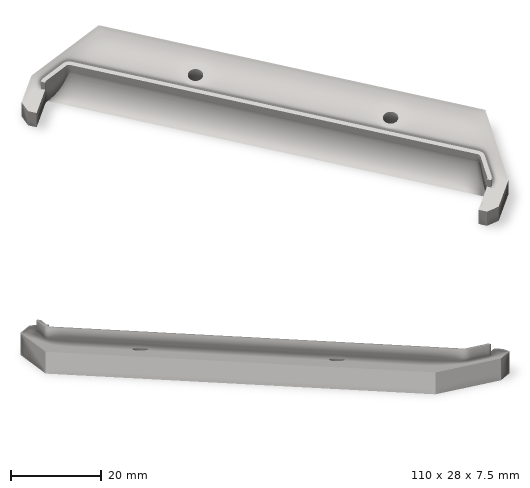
import cadquery as cq
import math

length = 110.0
depth = 28.0
plate_height = 5.0
total_height = 7.5

slope_angle = 60.0
arm_width = 4.1
arm_side_end = 10.0
arm_chamfer = 2.1

recess_back = 13.3
recess_slope_start = 7.4
recess_fillet = 1.0
lip_width = 1.0
lip_front = 6.9

trough_front = 7.9

hole_diameter = 3.4
left_hole_x = -20.0
right_hole_x = 25.0
hole_y = 20.1

half_length = length / 2
slope = math.tan(math.radians(slope_angle))


def mirrored_outline(right_points):
    """Close a right-hand chain of points with its mirror image across X = 0."""
    left_points = [(-x, y) for x, y in reversed(right_points)]
    return cq.Workplane("XY").polyline(right_points + left_points).close()


def recess_prism(half_width, slope_start, back, front, radius, height):
    """Recess-shaped block with straight sides, sloping sides blended by equal fillets."""
    back_half_width = half_width - (back - slope_start) / slope
    block = mirrored_outline([
        (half_width, front),
        (half_width, slope_start),
        (back_half_width, back),
    ]).extrude(height)
    outline_corners = block.edges("|Z").edges(cq.selectors.BoxSelector(
        (-half_length, (front + slope_start) / 2, 0),
        (half_length, depth, height),
    ))
    return outline_corners.fillet(radius)


inner_half_width = half_length - arm_width


def inner_recess(front):
    return recess_prism(
        inner_half_width, recess_slope_start, recess_back, front, recess_fillet, total_height
    )


back_half_length = half_length - (depth - arm_side_end) / slope
plate = mirrored_outline([
    (half_length - arm_chamfer, 0),
    (half_length, arm_chamfer),
    (half_length, arm_side_end),
    (back_half_length, depth),
]).extrude(plate_height)

lip_slope_start = recess_slope_start + lip_width * math.tan(math.radians((90 - slope_angle) / 2))
lip = recess_prism(
    inner_half_width + lip_width,
    lip_slope_start,
    recess_back + lip_width,
    lip_front,
    recess_fillet + lip_width,
    total_height,
)

trough_run = recess_back - trough_front
trough_radius = (trough_run**2 + plate_height**2) / (2 * plate_height)
arc_half_angle = math.atan2(plate_height, trough_run)
arc_middle = (
    trough_front + trough_radius * math.sin(arc_half_angle),
    trough_radius * (1 - math.cos(arc_half_angle)),
)
trough = (
    cq.Workplane("YZ")
    .moveTo(trough_front, 0)
    .threePointArc(arc_middle, (recess_back, plate_height))
    .lineTo(recess_back + lip_width, plate_height)
    .lineTo(recess_back + lip_width, 0)
    .close()
    .extrude(inner_half_width, both=True)
    .intersect(inner_recess(0))
)

holes = (
    cq.Workplane("XY")
    .pushPoints([(left_hole_x, hole_y), (right_hole_x, hole_y)])
    .circle(hole_diameter / 2)
    .extrude(plate_height)
)

result = plate.union(lip).cut(inner_recess(0)).union(trough).cut(holes)